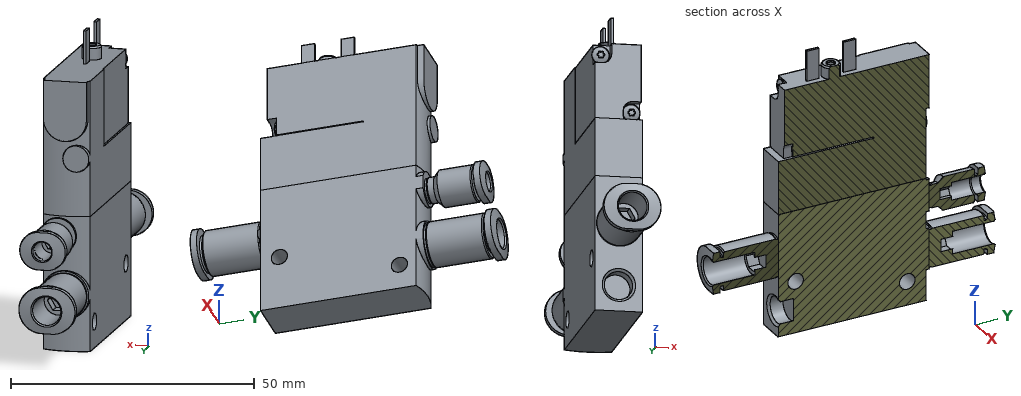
import cadquery as cq
import math


WIDTH = 9.95
HALF_WIDTH = WIDTH / 2
SIDE_LENGTH = 33.6
CROWN_LENGTH = 34.55
BOSS_FACE_Y = 35.15
BOSS_ROOT_Y = 29.6
LOWER_HEIGHT = 28.5
BLOCK_TOP = 40.8
COIL_TOP = 57.05

FRONT_PORT_Z = 18.4
LARGE_REAR_PORT_Z = 12.0
SMALL_REAR_PORT_X = 1.5
SMALL_REAR_PORT_Z = 23.95
LARGE_BOSS_DIAMETER = 10.15
SMALL_BOSS_DIAMETER = 7.5
SMALL_BOSS_Z = 24.35
OPEN_PORT_Z = 5.5
OPEN_PORT_DIAMETER = 5.9
OPEN_PORT_MOUTH_DIAMETER = 7.0
OPEN_PORT_CHAMFER_DEPTH = 0.5
OPEN_PORT_DEPTH = 3.5
MOUNTING_HOLE_DIAMETER = 3.5
MOUNTING_HOLES = [(30.0, OPEN_PORT_Z), (4.1, LARGE_REAR_PORT_Z)]

COIL_GAP = 0.2
COIL_FRONT_Y = 1.45
COIL_REAR_Y = 22.2
PAD_HALF_WIDTH = 4.55
PAD_ARC_Z = 48.9
OVERRIDE_BOSS_DIAMETER = 5.5
OVERRIDE_BOSS_X = -2.3

SCREW_X = 3.2
UPPER_SCREW_Z = 54.95
LOWER_SCREW_Z = 43.0
SCREW_HEAD_DIAMETER = 3.6
SCREW_HEAD_RIM = 0.25
SCREW_HEAD_HEIGHT = 0.85
SCREW_POCKET_DIAMETER = 4.0
SCREW_POCKET_DEPTH = 2.0
LOBE_SPAN = 1.6
LOBE_WIDTH = 0.45
LOBE_CORE_DIAMETER = 1.1
LOBE_DEPTH = 0.5

TERMINAL_WIDTH = 2.8
TERMINAL_THICKNESS = 0.6
TERMINAL_TOP = 64.0
TERMINAL_SPACING = 8.55
STUD_Y = 13.0
STUD_DIAMETER = 4.0
STUD_HEIGHT = 2.8
STUD_CHAMFER_RADIAL = 0.25
STUD_CHAMFER_AXIAL = 0.4
STUD_HOLE_DIAMETER = 1.6
STUD_HOLE_DEPTH = 1.3
STUD_HOLE_MOUTH_DIAMETER = 2.0
STUD_HOLE_MOUTH_DEPTH = 0.3


def box(x_range, y_range, z_range):
    """Box between two limits along each axis."""
    size = [high - low for low, high in (x_range, y_range, z_range)]
    corner = cq.Vector(x_range[0], y_range[0], z_range[0])
    return cq.Workplane("XY").box(*size, centered=False).translate(corner)


def rod_y(diameter, x, z, y_start, y_end):
    """Cylinder along Y between two Y positions."""
    plane = cq.Workplane("XZ", origin=(x, y_start, z))
    return plane.circle(diameter / 2).extrude(y_start - y_end)


def arched_block(z_low, z_high):
    """Valve block section with a convex rear face."""
    return (
        cq.Workplane("XY", origin=(0, 0, z_low))
        .moveTo(-HALF_WIDTH, 0)
        .lineTo(HALF_WIDTH, 0)
        .lineTo(HALF_WIDTH, SIDE_LENGTH)
        .threePointArc((0, CROWN_LENGTH), (-HALF_WIDTH, SIDE_LENGTH))
        .close()
        .extrude(z_high - z_low)
    )


def rear_boss(diameter, x, z):
    """Round boss on the arched rear face, trimmed flush with the block sides."""
    boss = rod_y(diameter, x, z, BOSS_ROOT_Y, BOSS_FACE_Y)
    return boss.intersect(box((-HALF_WIDTH, HALF_WIDTH), (0, BOSS_FACE_Y), (0, COIL_TOP)))



def open_port():
    """Blind front port with a countersunk mouth."""
    bore_radius = OPEN_PORT_DIAMETER / 2
    return (
        cq.Workplane("XY")
        .moveTo(0, 0)
        .lineTo(OPEN_PORT_MOUTH_DIAMETER / 2, 0)
        .lineTo(bore_radius, OPEN_PORT_CHAMFER_DEPTH)
        .lineTo(bore_radius, OPEN_PORT_DEPTH)
        .lineTo(0, OPEN_PORT_DEPTH)
        .close()
        .revolve(360, (0, 0, 0), (0, 1, 0))
        .translate((0, 0, OPEN_PORT_Z))
    )


def make_lower_housing():
    housing = arched_block(0, LOWER_HEIGHT)
    housing = housing.union(rear_boss(LARGE_BOSS_DIAMETER, 0, LARGE_REAR_PORT_Z))
    housing = housing.union(rear_boss(SMALL_BOSS_DIAMETER, SMALL_REAR_PORT_X, SMALL_BOSS_Z))
    mounting_holes = (
        cq.Workplane("YZ")
        .pushPoints(MOUNTING_HOLES)
        .circle(MOUNTING_HOLE_DIAMETER / 2)
        .extrude(HALF_WIDTH, both=True)
    )
    return housing.cut(mounting_holes).cut(open_port())



def rear_pad():
    """Flat pad on the rear face with a rounded lower end."""
    return (
        cq.Workplane("XZ", origin=(0, BOSS_ROOT_Y, 0))
        .moveTo(-PAD_HALF_WIDTH, COIL_TOP)
        .lineTo(-PAD_HALF_WIDTH, PAD_ARC_Z)
        .threePointArc((0, PAD_ARC_Z - PAD_HALF_WIDTH), (PAD_HALF_WIDTH, PAD_ARC_Z))
        .lineTo(PAD_HALF_WIDTH, COIL_TOP)
        .close()
        .extrude(BOSS_ROOT_Y - BOSS_FACE_Y)
    )


def screw_pocket(side, z, z_open):
    """Coil corner pocket, rounded around the screw, open to one side and to z_open."""
    floor_y = COIL_FRONT_Y + SCREW_POCKET_DEPTH
    radius = SCREW_POCKET_DIAMETER / 2
    x = side * SCREW_X
    inner_x = x - side * radius
    outer_x = side * (HALF_WIDTH + COIL_GAP)
    inner_z = z - math.copysign(radius, z_open - z)
    y_range = (COIL_FRONT_Y, floor_y)
    pocket = rod_y(SCREW_POCKET_DIAMETER, x, z, COIL_FRONT_Y, floor_y)
    pocket = pocket.union(box(sorted((inner_x, outer_x)), y_range, sorted((z, z_open))))
    return pocket.union(box(sorted((x, outer_x)), y_range, sorted((inner_z, z_open))))


def screw_head(x, z):
    """Domed screw head with a six-lobed socket, seated on the pocket floor."""
    floor_y = COIL_FRONT_Y + SCREW_POCKET_DEPTH
    rim_radius = SCREW_HEAD_DIAMETER / 2
    dome_rise = SCREW_HEAD_HEIGHT - SCREW_HEAD_RIM
    sphere_radius = (rim_radius**2 + dome_rise**2) / (2 * dome_rise)
    sphere_centre = SCREW_HEAD_HEIGHT - sphere_radius
    middle_radius = rim_radius / 2
    dome_middle = (middle_radius, sphere_centre + math.sqrt(sphere_radius**2 - middle_radius**2))
    head = (
        cq.Workplane("XY")
        .moveTo(0, 0)
        .lineTo(rim_radius, 0)
        .lineTo(rim_radius, SCREW_HEAD_RIM)
        .threePointArc(dome_middle, (0, SCREW_HEAD_HEIGHT))
        .close()
        .revolve(360, (0, 0, 0), (0, 1, 0))
    )
    socket_plane = cq.Workplane("XZ", origin=(0, SCREW_HEAD_HEIGHT, 0))
    socket = socket_plane.circle(LOBE_CORE_DIAMETER / 2).extrude(LOBE_DEPTH)
    for angle in (0, 60, 120):
        socket = socket.union(socket_plane.slot2D(LOBE_SPAN, LOBE_WIDTH, angle).extrude(LOBE_DEPTH))
    return head.cut(socket).rotate((0, 0, 0), (0, 0, 1), 180).translate((x, floor_y, z))


def terminal(y):
    """Flat contact blade standing on the coil."""
    plane = cq.Workplane("XY", origin=(0, y, COIL_TOP))
    return plane.rect(TERMINAL_THICKNESS, TERMINAL_WIDTH).extrude(TERMINAL_TOP - COIL_TOP)


def stud():
    """Round chamfered stud with a stepped blind hole, standing on the coil."""
    body = cq.Workplane("XY", origin=(0, STUD_Y, COIL_TOP)).circle(STUD_DIAMETER / 2).extrude(STUD_HEIGHT)
    body = body.faces(">Z").chamfer(STUD_CHAMFER_AXIAL, STUD_CHAMFER_RADIAL)
    return body.faces(">Z").workplane().cboreHole(
        STUD_HOLE_DIAMETER, STUD_HOLE_MOUTH_DIAMETER, STUD_HOLE_MOUTH_DEPTH, STUD_HOLE_DEPTH
    )


def make_upper_housing():
    coil_bottom = BLOCK_TOP + COIL_GAP
    housing = arched_block(LOWER_HEIGHT, COIL_TOP)
    housing = housing.cut(box((-HALF_WIDTH, HALF_WIDTH), (0, COIL_FRONT_Y), (BLOCK_TOP, COIL_TOP)))
    housing = housing.cut(box((-HALF_WIDTH, HALF_WIDTH), (0, COIL_REAR_Y), (BLOCK_TOP, coil_bottom)))
    housing = housing.cut(box((-HALF_WIDTH, COIL_GAP - HALF_WIDTH), (0, COIL_REAR_Y), (BLOCK_TOP, COIL_TOP)))
    housing = housing.union(rear_pad())
    housing = housing.union(rear_boss(OVERRIDE_BOSS_DIAMETER, OVERRIDE_BOSS_X, BLOCK_TOP))
    housing = housing.cut(screw_pocket(-1, UPPER_SCREW_Z, COIL_TOP))
    housing = housing.cut(screw_pocket(1, LOWER_SCREW_Z, coil_bottom))
    housing = housing.union(screw_head(-SCREW_X, UPPER_SCREW_Z))
    housing = housing.union(screw_head(SCREW_X, LOWER_SCREW_Z))
    for side in (-1, 1):
        housing = housing.union(terminal(STUD_Y + side * TERMINAL_SPACING / 2))
    return housing.union(stud())



EDGE_CHAMFER = 0.25
COLLAR_LENGTH = 0.4
COLLAR_STEP = 0.1
NECK_LENGTH = 0.7
NECK_FLARE = 0.25
RING_THICKNESS = 1.4
RING_MOUTH_DEPTH = 0.3


def release_ring(y, length, width, end_y, mouth_diameter):
    """Oval release ring whose outer face is a shallow cone."""
    tip_radius = length / 2
    cone = (
        cq.Workplane("XY")
        .moveTo(0, y)
        .lineTo(tip_radius, y)
        .lineTo(tip_radius, y + RING_THICKNESS)
        .lineTo(mouth_diameter / 2, end_y)
        .lineTo(0, end_y)
        .close()
        .revolve(360, (0, 0, 0), (0, 1, 0))
    )
    oval = cq.Workplane("XZ", origin=(0, y, 0)).slot2D(length, width).extrude(y - end_y)
    return cone.intersect(oval)


def push_in_fitting(stem_profile, barrel_diameter, barrel_end, end_y, neck_diameter,
                    ring_length, bore_diameter, mouth_diameter, bore_depth, hex_size, hex_depth):
    """Fitting revolved from stem_profile (radius, Y) plus barrel, neck, ring and hexagonal socket."""
    barrel_radius = barrel_diameter / 2
    neck_radius = neck_diameter / 2
    ring_y = barrel_end + NECK_LENGTH
    profile = [(0, 0)] + stem_profile + [
        (barrel_radius, barrel_end - EDGE_CHAMFER),
        (barrel_radius - EDGE_CHAMFER, barrel_end),
        (neck_radius, barrel_end),
        (neck_radius, barrel_end + NECK_LENGTH / 2),
        (neck_radius + NECK_FLARE, ring_y),
        (0, ring_y),
    ]
    fitting = cq.Workplane("XY").polyline(profile).close().revolve(360, (0, 0, 0), (0, 1, 0))
    fitting = fitting.union(release_ring(ring_y, ring_length, barrel_diameter, end_y, mouth_diameter))
    bore_profile = [
        (0, end_y),
        (mouth_diameter / 2, end_y),
        (bore_diameter / 2, end_y - RING_MOUTH_DEPTH),
        (bore_diameter / 2, end_y - bore_depth),
        (0, end_y - bore_depth),
    ]
    bore = cq.Workplane("XY").polyline(bore_profile).close().revolve(360, (0, 0, 0), (0, 1, 0))
    hexagon = (
        cq.Workplane("XZ", origin=(0, end_y - bore_depth, 0))
        .polygon(6, hex_size / math.cos(math.pi / 6))
        .extrude(hex_depth)
    )
    return fitting.cut(bore).cut(hexagon)


def make_large_fitting():
    """Straight fitting for the wide tube."""
    barrel_diameter = 9.6
    radius = barrel_diameter / 2
    stem = [
        (radius - COLLAR_STEP, 0),
        (radius - COLLAR_STEP, COLLAR_LENGTH),
        (radius, COLLAR_LENGTH + EDGE_CHAMFER),
    ]
    return push_in_fitting(
        stem, barrel_diameter, barrel_end=12.75, end_y=15.3, neck_diameter=7.4,
        ring_length=11.9, bore_diameter=6.0, mouth_diameter=6.6, bore_depth=9.9,
        hex_size=4.0, hex_depth=2.6,
    )


def make_small_fitting():
    """Fitting for the narrow tube, with a slim stem and a conical shoulder."""
    barrel_diameter = 7.9
    stem_radius = 5.5 / 2
    shoulder_start = 2.0
    shoulder_end = 3.15
    stem = [
        (stem_radius - COLLAR_STEP, 0),
        (stem_radius - COLLAR_STEP, COLLAR_LENGTH),
        (stem_radius, COLLAR_LENGTH + EDGE_CHAMFER),
        (stem_radius, shoulder_start),
        (barrel_diameter / 2, shoulder_end),
    ]
    return push_in_fitting(
        stem, barrel_diameter, barrel_end=10.5, end_y=13.1, neck_diameter=4.4,
        ring_length=9.7, bore_diameter=4.0, mouth_diameter=4.4, bore_depth=7.9,
        hex_size=2.45, hex_depth=2.6,
    )


lower_housing = make_lower_housing()
upper_housing = make_upper_housing()
large_fitting = make_large_fitting()
front_fitting = large_fitting.rotate((0, 0, 0), (0, 0, 1), 180).translate((0, 0, FRONT_PORT_Z))
large_rear_fitting = large_fitting.translate((0, BOSS_FACE_Y, LARGE_REAR_PORT_Z))
small_rear_fitting = make_small_fitting().translate((SMALL_REAR_PORT_X, BOSS_FACE_Y, SMALL_REAR_PORT_Z))

result = cq.Compound.makeCompound([
    lower_housing.val(),
    upper_housing.val(),
    front_fitting.val(),
    large_rear_fitting.val(),
    small_rear_fitting.val(),
])